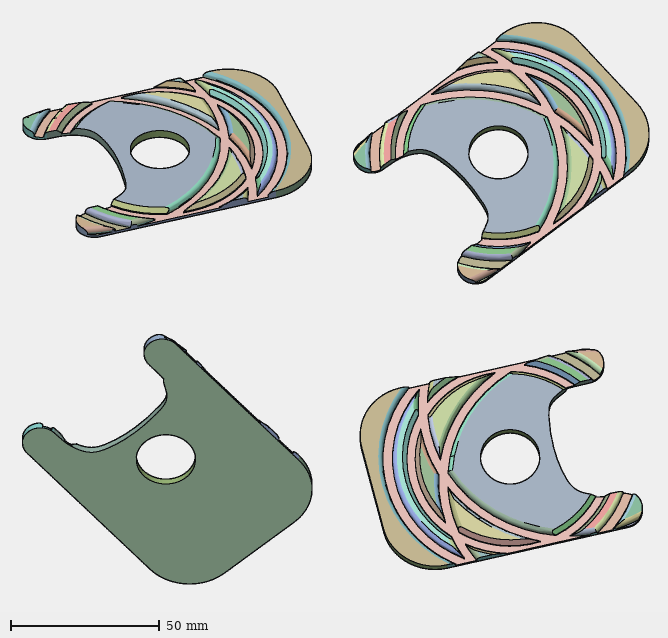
import cadquery as cq
import math

width = 67.0
length = 86.9
thickness = 3.0
bore_diameter = 20.0
bore_to_front = 39.1
back_corner_radius = 17.8
leg_width = 12.35

side = width / 2
front = -bore_to_front
back = front + length
leg_radius = leg_width / 2
leg_inner = side - leg_width
leg_shoulder = front + leg_radius

opening_crown = -15.1
opening_points = [(-20.2, -24.2), (-16.95, -18.8), (-11.2, -16.25), (0, opening_crown)]

groove_floor = 1.0
edge_size = 1.52
inner_ring = (32.1, 34.9)
outer_ring = (40.0, 43.2)
outer_ring_y = -0.3
crossing_ring = (48.1, 51.1)
crossing_x = 14.3
crossing_y = -24.25


def make_plate():
    mirrored = [(-x, y) for x, y in reversed(opening_points[:-1])]
    opening = opening_points + mirrored
    plate = (
        cq.Workplane("XY")
        .moveTo(-side, leg_shoulder)
        .threePointArc((-side + leg_radius, front), (-leg_inner, leg_shoulder))
        .spline(opening + [(leg_inner, leg_shoulder)], tangents=[(0, 1), (0, -1)], includeCurrent=True)
        .threePointArc((side - leg_radius, front), (side, leg_shoulder))
        .lineTo(side, back)
        .lineTo(-side, back)
        .close()
        .extrude(thickness)
    )
    plate = plate.edges("|Z and >Y").fillet(back_corner_radius)
    return plate.cut(cq.Workplane("XY").circle(bore_diameter / 2).extrude(thickness))


def ring_groove(floor_radii, x=0, y=0, rounded=True):
    """Ring cutter whose walls flare outwards up to the top face."""
    inner, outer = floor_radii
    spring = thickness - edge_size
    outer_top = (outer + edge_size, thickness)
    inner_top = (inner - edge_size, thickness)
    profile = cq.Workplane("XZ").moveTo(inner, groove_floor).lineTo(outer, groove_floor).lineTo(outer, spring)
    if rounded:
        bend = edge_size * (1 - math.sqrt(0.5))
        profile = (
            profile.threePointArc((outer + bend, thickness - bend), outer_top)
            .lineTo(*inner_top)
            .threePointArc((inner - bend, thickness - bend), (inner, spring))
        )
    else:
        profile = profile.lineTo(*outer_top).lineTo(*inner_top).lineTo(inner, spring)
    return profile.close().revolve(360, (0, 0), (0, 1)).translate((x, y, 0))


result = make_plate()
result = result.cut(ring_groove(inner_ring, rounded=False))
result = result.cut(ring_groove(outer_ring, y=outer_ring_y))
for x in (-crossing_x, crossing_x):
    result = result.cut(ring_groove(crossing_ring, x, crossing_y))